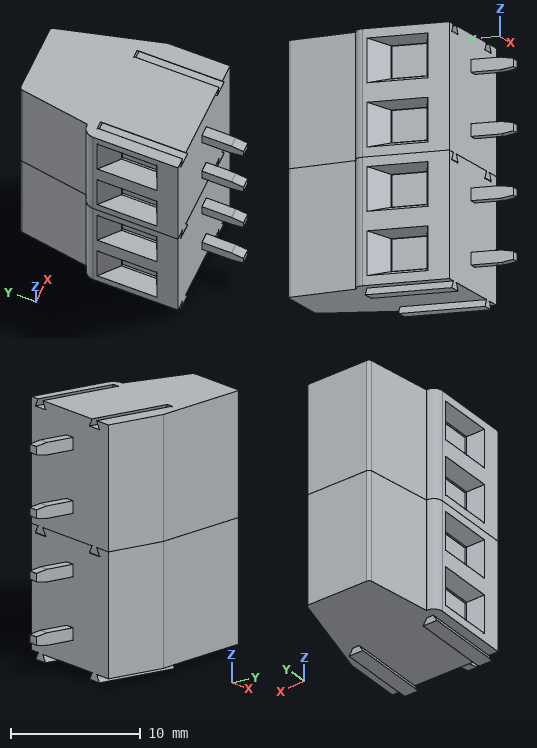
import cadquery as cq
import math

module_count = 2
poles_per_module = 2
overall_height = 20.92
tail_depth = 0.6
module_height = (overall_height - tail_depth) / module_count
pole_pitch = module_height / poles_per_module

width = 10.2
overall_length = 17.6
pin_length = 3.5
body_length = overall_length - pin_length
shoulder_y = 8.01
shoulder_width = 0.92
shoulder_radius = 0.85
back_slope_start_y = 5.2
crown_left_x = 1.86
crown_right_x = 7.93
crown_radius = 0.3

dovetail_x_positions = (1.21, 8.35)
dovetail_length = 7.15
neck_width = 0.63
tail_width = 1.34
groove_clearance = 0.05

pin_width = 0.88
pin_thickness = 1.0
pin_tip_thickness = 0.67
pin_taper_length = 1.0

entry_y_range = (1.78, 6.78)
entry_height = 3.54
throat_y_range = (2.35, 5.3)
throat_height = 2.6
funnel_depth = 1.3
throat_depth = 0.17


def make_body():
    """Plain module block with its rounded shoulder and crown corners."""
    arc_offset = shoulder_radius * (1 - math.sqrt(0.5))
    block = (
        cq.Workplane("XY")
        .moveTo(0, 0)
        .lineTo(width, 0)
        .lineTo(width, back_slope_start_y)
        .lineTo(crown_right_x, body_length)
        .lineTo(crown_left_x, body_length)
        .lineTo(shoulder_width, shoulder_y)
        .lineTo(shoulder_radius, shoulder_y)
        .threePointArc(
            (arc_offset, shoulder_y - arc_offset),
            (0, shoulder_y - shoulder_radius),
        )
        .close()
        .extrude(module_height)
    )
    return block.faces(">Y").edges("|Z").fillet(crown_radius)


def make_dovetail(center_x, face_z, depth):
    """Dovetail bar that widens downwards from face_z and runs along +Y from the pin face."""
    half_neck = neck_width / 2
    half_tail = tail_width / 2
    return (
        cq.Workplane("XZ")
        .polyline([
            (center_x - half_neck, face_z),
            (center_x + half_neck, face_z),
            (center_x + half_tail, face_z - depth),
            (center_x - half_tail, face_z - depth),
        ])
        .close()
        .extrude(-dovetail_length)
    )


def make_pin(center_z):
    """Flat solder pin below the pin face, tapered in thickness at its tip."""
    half = pin_thickness / 2
    half_tip = pin_tip_thickness / 2
    taper_y = pin_taper_length - pin_length
    return (
        cq.Workplane("YZ", origin=((width - pin_width) / 2, 0, center_z))
        .polyline([
            (0, -half),
            (taper_y, -half),
            (-pin_length, -half_tip),
            (-pin_length, half_tip),
            (taper_y, half),
            (0, half),
        ])
        .close()
        .extrude(pin_width)
    )


def rectangle_at(depth, y_range, height, center_z):
    """Rectangular section at the given depth behind the -X wall."""
    y_low, y_high = y_range
    return (
        cq.Workplane("YZ", origin=(depth, 0, center_z))
        .center((y_low + y_high) / 2, 0)
        .rect(y_high - y_low, height)
    )


def make_wire_entry(center_z):
    """Cutter for one wire entry."""
    mouth = rectangle_at(0, entry_y_range, entry_height, center_z).wires().val()
    throat_section = rectangle_at(funnel_depth, throat_y_range, throat_height, center_z)
    funnel = cq.Solid.makeLoft([mouth, throat_section.wires().val()], True)
    throat = throat_section.extrude(throat_depth)
    return throat.union(cq.Workplane(funnel))


def make_module(base_z):
    """One complete terminal module with its lower face at base_z."""
    module = make_body()
    for center_x in dovetail_x_positions:
        module = module.cut(make_dovetail(center_x, module_height, tail_depth + groove_clearance))
        module = module.union(make_dovetail(center_x, 0, tail_depth))
    for pole in range(poles_per_module):
        pole_z = (pole + 0.5) * pole_pitch
        module = module.union(make_pin(pole_z))
        module = module.cut(make_wire_entry(pole_z))
    return module.translate((0, 0, base_z))


modules = [make_module(index * module_height) for index in range(module_count)]

result = cq.Compound.makeCompound([module.val() for module in modules])